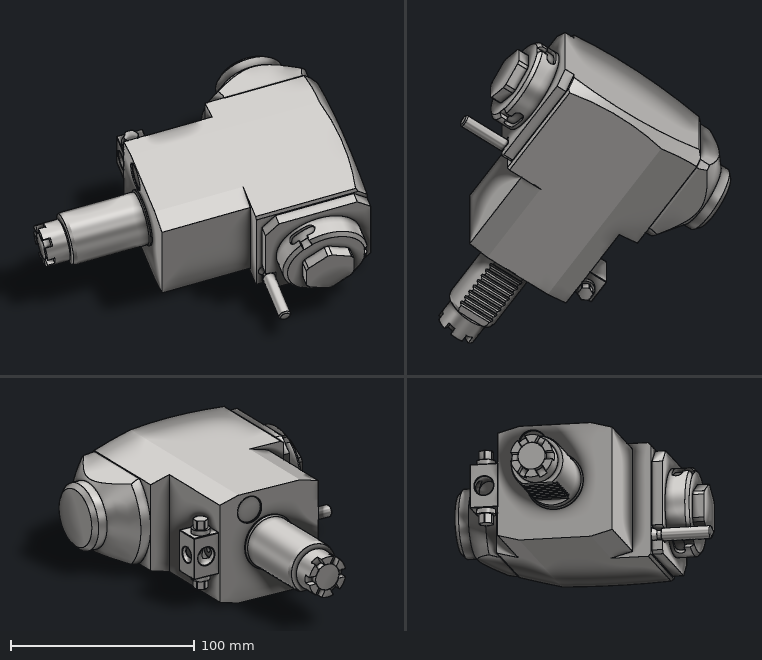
import math

import cadquery as cq


HALF_HEIGHT = 32.0
BLOCK_HALF_WIDTH = 32.0
BLOCK_DEPTH = 51.0
HEAD_BACK_Y = 115.0
HEAD_LEFT_X = -44.1
HEAD_RIGHT_X = 42.2
FLAT_HALF_WIDTH = 20.0
TAPER_ANGLE = 15.0
TAPER_SLOPE = math.tan(math.radians(TAPER_ANGLE))
RIGHT_EDGE_CHAMFER = 1.4
BACK_CORNER_CHAMFER = 3.3
BACK_BEVEL_RADIUS = 140.0
BACK_BEVEL_CENTER_X = 10.0
BACK_BEVEL_RISE = 3.0
FACE_RECESS_X = -12.6
FACE_RECESS_Z = 21.7
FACE_RECESS_RADIUS = 7.8
FACE_RECESS_DEPTH = 1.0
FACE_RECESS_CHAMFER = 0.3

SPINDLE_Y = 84.8
CAP_LEFT_X = -71.2
CAP_CHAMFER = 2.7
CAP_RADIUS = 19.3
CONE_LEFT_X = -63.0
CONE_RIGHT_X = -50.4
CONE_RADIUS = 33.8
CAP_BACK_Y = 111.1
CAP_TAPER_END_X = -45.8

PLATE_RIGHT_X = 48.1
PLATE_FRONT_Y = 54.2
PLATE_HALF_HEIGHT = 29.7
PLATE_CHAMFER = 7.8
PLATE_SMALL_CHAMFER = 1.9

NUT_RIGHT_X = 61.1
NUT_RADIUS = 24.4
NUT_CHAMFER = 2.0
NUT_SLOT_COUNT = 3
NUT_SLOT_ANGLE = 28.5
NUT_SLOT_CENTER_X = 52.9
NUT_SLOT_WIDTH = 5.6
NUT_SLOT_LENGTH = 16.0
NUT_SLOT_FLOOR_RADIUS = 22.2
NUT_KEYWAY_WIDTH = 5.3
NUT_KEYWAY_FLOOR_HEIGHT = 22.0
HEX_RIGHT_X = 67.4
HEX_ACROSS_FLATS = 27.4
HEX_ACROSS_CORNERS = 30.2

PIN_Y = 56.3
PIN_Z = -18.9
PIN_RADIUS = 3.5
PIN_RIGHT_X = 75.18
PIN_CHAMFER = 0.8
PIN_NECK_RADIUS = 2.4
PIN_NECK_LEFT_X = 44.9
PIN_NECK_RIGHT_X = 47.5
PIN_FOOT_RADIUS = 4.2
NOTCH_TOP_Z = -13.7
NOTCH_BOTTOM_Z = -22.4
NOTCH_INNER_TOP_Z = -15.6
NOTCH_DEPTH = 6.0

COLLAR_RADIUS = 15.9
COLLAR_LENGTH = 0.8
COLLAR_BEVEL_LENGTH = 0.8
SHANK_RADIUS = 15.0
SHANK_CHAMFER_START = 42.8
SHANK_CHAMFER = 0.6
SHANK_LENGTH = 44.9
NECK_RADIUS = 9.4
RACK_FLAT_Z = -11.8
RACK_FLAT_START = 6.9
RACK_NOTCH_COUNT = 8
RACK_PITCH = 4.0
RACK_FIRST_NOTCH = 11.5
RACK_NOTCH_DEPTH = 1.0
RACK_NOTCH_MOUTH = 2.7
RACK_NOTCH_ROOT = 1.0
COUPLING_START = 46.1
COUPLING_END = 59.0
COUPLING_RADIUS = 11.9
COUPLING_CORE_RADIUS = 7.55
COUPLING_SLOT_COUNT = 6
COUPLING_SLOT_WIDTH = 4.6
COUPLING_SLOT_DEPTH = 4.2
COUPLING_CORE_RECESS = 0.3

COOLANT_LEFT_X = -47.9
COOLANT_FRONT_Y = 1.2
COOLANT_BACK_Y = 16.2
COOLANT_HALF_HEIGHT = 12.2
COOLANT_EDGE_CHAMFER = 0.3
SIDE_PORT_RADIUS = 4.5
SIDE_PORT_DEPTH = 14.0
SIDE_PORT_BORE_RADIUS = 1.6
FRONT_PORT_X = -40.0
FRONT_PORT_RADIUS = 5.3
FRONT_PORT_DEPTH = 12.5
PORT_CHAMFER = 0.3
PLUG_Y = 7.0
PLUG_COLLAR_RADIUS = 5.2
PLUG_COLLAR_HEIGHT = 2.8
PLUG_HEX_HEIGHT = 5.3
PLUG_HEX_ACROSS_FLATS = 7.4
PLUG_HEX_ACROSS_CORNERS = 8.2

CLEARANCE = 5.0


def box(x_min, x_max, y_min, y_max, z_min, z_max):
    """Box between two opposite corners."""
    size = (x_max - x_min, y_max - y_min, z_max - z_min)
    return cq.Workplane("XY").box(*size, centered=False).translate((x_min, y_min, z_min))


def revolve_about_x(profile, y, z):
    """Solid turned about an axis parallel to X; profile points are (x, radius)."""
    turned = cq.Workplane("XY").polyline(profile).close().revolve(360, (0, 0, 0), (1, 0, 0))
    return turned.translate((0, y, z))


def revolve_about_y(profile):
    """Solid turned about the Y axis; profile points are (radius, y)."""
    return cq.Workplane("XY").polyline(profile).close().revolve(360, (0, 0, 0), (0, 1, 0))


def truncated_hexagon(workplane, across_flats, across_corners, length):
    """Hexagonal prism whose corners are cut flat by a second hexagon turned by 30 degrees."""
    circumscribed = 1 / math.cos(math.pi / 6)
    hexagon = workplane.polygon(6, across_flats * circumscribed).extrude(length)
    corner_cutter = (
        workplane.transformed(rotate=(0, 0, 30))
        .polygon(6, across_corners * circumscribed)
        .extrude(length)
    )
    return hexagon.intersect(corner_cutter)


def taper_height(x):
    """Half height of the housing on its tapered left side."""
    return HALF_HEIGHT + TAPER_SLOPE * (x + FLAT_HALF_WIDTH)


def back_bevel():
    """Solid filling the space inside the conical bevels along the top and bottom back edges."""
    rim_center_z = HALF_HEIGHT - BACK_BEVEL_RISE - BACK_BEVEL_RADIUS
    reach = HEAD_BACK_Y + CLEARANCE
    profile = [
        (0, -CLEARANCE),
        (BACK_BEVEL_RADIUS + reach, -CLEARANCE),
        (BACK_BEVEL_RADIUS, HEAD_BACK_Y),
        (0, HEAD_BACK_Y),
    ]
    cone = revolve_about_y(profile)
    upper = cone.translate((BACK_BEVEL_CENTER_X, 0, rim_center_z))
    lower = cone.translate((BACK_BEVEL_CENTER_X, 0, -rim_center_z))
    return upper.intersect(lower)


def seat_block():
    """Front block, tapered towards both sides, with a round recess in the seat face."""
    side_height = taper_height(-BLOCK_HALF_WIDTH)
    block = (
        cq.Workplane("XZ")
        .polyline([
            (-BLOCK_HALF_WIDTH, -side_height),
            (-FLAT_HALF_WIDTH, -HALF_HEIGHT),
            (FLAT_HALF_WIDTH, -HALF_HEIGHT),
            (BLOCK_HALF_WIDTH, -side_height),
            (BLOCK_HALF_WIDTH, side_height),
            (FLAT_HALF_WIDTH, HALF_HEIGHT),
            (-FLAT_HALF_WIDTH, HALF_HEIGHT),
            (-BLOCK_HALF_WIDTH, side_height),
        ])
        .close()
        .extrude(-BLOCK_DEPTH)
    )
    recess = (
        cq.Workplane("XZ")
        .center(FACE_RECESS_X, FACE_RECESS_Z)
        .circle(FACE_RECESS_RADIUS)
        .extrude(-FACE_RECESS_DEPTH)
        .faces(">Y")
        .chamfer(FACE_RECESS_CHAMFER)
    )
    return block.cut(recess)


def head():
    """Cross block around the spindle, tapered on the left and bevelled at the back."""
    left_height = taper_height(HEAD_LEFT_X)
    chamfer_x = HEAD_RIGHT_X - RIGHT_EDGE_CHAMFER
    right_height = HALF_HEIGHT - RIGHT_EDGE_CHAMFER
    block = (
        cq.Workplane("XZ", origin=(0, BLOCK_DEPTH, 0))
        .polyline([
            (HEAD_LEFT_X, -left_height),
            (-FLAT_HALF_WIDTH, -HALF_HEIGHT),
            (chamfer_x, -HALF_HEIGHT),
            (HEAD_RIGHT_X, -right_height),
            (HEAD_RIGHT_X, right_height),
            (chamfer_x, HALF_HEIGHT),
            (-FLAT_HALF_WIDTH, HALF_HEIGHT),
            (HEAD_LEFT_X, left_height),
        ])
        .close()
        .extrude(BLOCK_DEPTH - HEAD_BACK_Y)
    )
    block = block.faces("<X").edges(">Y").chamfer(BACK_CORNER_CHAMFER)
    return block.intersect(back_bevel())


def bearing_cap():
    """Turned cap on the left, flattened to follow the taper and the back of the head."""
    turned = revolve_about_x(
        [
            (CAP_LEFT_X, 0),
            (CAP_LEFT_X, CAP_RADIUS - CAP_CHAMFER),
            (CAP_LEFT_X + CAP_CHAMFER, CAP_RADIUS),
            (CONE_LEFT_X, CAP_RADIUS),
            (CONE_RIGHT_X, CONE_RADIUS),
            (HEAD_LEFT_X, CONE_RADIUS),
            (HEAD_LEFT_X, 0),
        ],
        SPINDLE_Y,
        0,
    )
    start_x = CAP_LEFT_X - CLEARANCE
    flat_height = taper_height(CAP_TAPER_END_X)
    ring_height = max(CAP_RADIUS, taper_height(CONE_LEFT_X))
    envelope = (
        cq.Workplane("XZ")
        .polyline([
            (start_x, -ring_height),
            (CONE_LEFT_X, -ring_height),
            (CAP_TAPER_END_X, -flat_height),
            (HEAD_LEFT_X, -flat_height),
            (HEAD_LEFT_X, flat_height),
            (CAP_TAPER_END_X, flat_height),
            (CONE_LEFT_X, ring_height),
            (start_x, ring_height),
        ])
        .close()
        .extrude(-CAP_BACK_Y)
    )
    return turned.intersect(envelope)


def cover_plate():
    """Nearly square plate on the right with cut corners and a notch, sloped on top, for the stop pin."""
    plate = box(
        HEAD_RIGHT_X, PLATE_RIGHT_X, PLATE_FRONT_Y, HEAD_BACK_Y, -PLATE_HALF_HEIGHT, PLATE_HALF_HEIGHT
    )
    plate = plate.edges("|X and >Z").chamfer(PLATE_CHAMFER)
    plate = plate.edges("|X and <Z and >Y").chamfer(PLATE_CHAMFER)
    plate = plate.edges("|X and <Z and <Y").chamfer(PLATE_SMALL_CHAMFER)
    notch = (
        cq.Workplane("YZ", origin=(HEAD_RIGHT_X, 0, 0))
        .polyline([
            (PLATE_FRONT_Y, NOTCH_BOTTOM_Z),
            (PLATE_FRONT_Y + NOTCH_DEPTH, NOTCH_BOTTOM_Z),
            (PLATE_FRONT_Y + NOTCH_DEPTH, NOTCH_INNER_TOP_Z),
            (PLATE_FRONT_Y, NOTCH_TOP_Z),
        ])
        .close()
        .extrude(PLATE_RIGHT_X - HEAD_RIGHT_X)
    )
    return plate.cut(notch)


def nut_slot():
    """Round-floored wrench slot at the top of the nut, with a flat keyway out to the end face."""
    outside_z = NUT_RADIUS + CLEARANCE
    slot = (
        cq.Workplane("XY", origin=(NUT_SLOT_CENTER_X, 0, 0))
        .slot2D(NUT_SLOT_LENGTH, NUT_SLOT_WIDTH, 90)
        .extrude(outside_z)
    )
    floor = cq.Workplane("YZ").circle(NUT_SLOT_FLOOR_RADIUS).extrude(NUT_RIGHT_X)
    slot = slot.cut(floor)
    keyway = box(
        NUT_SLOT_CENTER_X + NUT_SLOT_WIDTH / 2,
        NUT_RIGHT_X,
        -NUT_KEYWAY_WIDTH / 2,
        NUT_KEYWAY_WIDTH / 2,
        NUT_KEYWAY_FLOOR_HEIGHT,
        outside_z,
    )
    return slot.union(keyway)


def clamping_nut():
    """Round nut with equally spaced wrench slots."""
    nut = revolve_about_x(
        [
            (PLATE_RIGHT_X, 0),
            (PLATE_RIGHT_X, NUT_RADIUS),
            (NUT_RIGHT_X - NUT_CHAMFER, NUT_RADIUS),
            (NUT_RIGHT_X, NUT_RADIUS - NUT_CHAMFER),
            (NUT_RIGHT_X, 0),
        ],
        0,
        0,
    )
    for index in range(NUT_SLOT_COUNT):
        angle = NUT_SLOT_ANGLE + index * 360 / NUT_SLOT_COUNT
        nut = nut.cut(nut_slot().rotate((0, 0, 0), (1, 0, 0), angle))
    return nut.translate((0, SPINDLE_Y, 0))


def spindle_hexagon():
    """Hexagon on the spindle end, flats facing front and back."""
    workplane = cq.Workplane("YZ", origin=(NUT_RIGHT_X, SPINDLE_Y, 0)).transformed(rotate=(0, 0, 30))
    return truncated_hexagon(workplane, HEX_ACROSS_FLATS, HEX_ACROSS_CORNERS, HEX_RIGHT_X - NUT_RIGHT_X)


def stop_pin():
    """Pin parallel to the spindle, necked down onto a conical foot."""
    return revolve_about_x(
        [
            (HEAD_RIGHT_X, 0),
            (HEAD_RIGHT_X, PIN_FOOT_RADIUS),
            (PIN_NECK_LEFT_X, PIN_NECK_RADIUS),
            (PIN_NECK_RIGHT_X, PIN_NECK_RADIUS),
            (PIN_NECK_RIGHT_X, PIN_RADIUS),
            (PIN_RIGHT_X - PIN_CHAMFER, PIN_RADIUS),
            (PIN_RIGHT_X, PIN_RADIUS - PIN_CHAMFER),
            (PIN_RIGHT_X, 0),
        ],
        PIN_Y,
        PIN_Z,
    )


def shank():
    """Round shank with a collar at the seat and a toothed flat underneath."""
    collar_end = COLLAR_LENGTH + COLLAR_BEVEL_LENGTH
    body = revolve_about_y([
        (0, 0),
        (COLLAR_RADIUS, 0),
        (COLLAR_RADIUS, -COLLAR_LENGTH),
        (SHANK_RADIUS, -collar_end),
        (SHANK_RADIUS, -SHANK_CHAMFER_START),
        (SHANK_RADIUS - SHANK_CHAMFER, -SHANK_LENGTH),
        (NECK_RADIUS, -SHANK_LENGTH),
        (NECK_RADIUS, -COUPLING_START),
        (0, -COUPLING_START),
    ])
    flat = box(
        -SHANK_RADIUS,
        SHANK_RADIUS,
        -SHANK_LENGTH,
        -RACK_FLAT_START,
        -SHANK_RADIUS - CLEARANCE,
        RACK_FLAT_Z,
    )
    body = body.cut(flat)
    for index in range(RACK_NOTCH_COUNT):
        y = -RACK_FIRST_NOTCH - index * RACK_PITCH
        notch = (
            cq.Workplane("YZ")
            .polyline([
                (y - RACK_NOTCH_MOUTH / 2, RACK_FLAT_Z),
                (y + RACK_NOTCH_MOUTH / 2, RACK_FLAT_Z),
                (y + RACK_NOTCH_ROOT / 2, RACK_FLAT_Z + RACK_NOTCH_DEPTH),
                (y - RACK_NOTCH_ROOT / 2, RACK_FLAT_Z + RACK_NOTCH_DEPTH),
            ])
            .close()
            .extrude(SHANK_RADIUS, both=True)
        )
        body = body.cut(notch)
    return body


def drive_coupling():
    """Claw coupling: radial slots around a plain round core, set slightly back."""
    claw_start = COUPLING_END - COUPLING_SLOT_DEPTH
    coupling = (
        cq.Workplane("XZ", origin=(0, -COUPLING_START, 0))
        .circle(COUPLING_RADIUS)
        .extrude(COUPLING_END - COUPLING_START)
    )
    slot = box(
        0,
        COUPLING_RADIUS + CLEARANCE,
        -COUPLING_END,
        -claw_start,
        -COUPLING_SLOT_WIDTH / 2,
        COUPLING_SLOT_WIDTH / 2,
    )
    core_bore = (
        cq.Workplane("XZ", origin=(0, -claw_start, 0))
        .circle(COUPLING_CORE_RADIUS)
        .extrude(COUPLING_SLOT_DEPTH)
    )
    core = core_bore.translate((0, COUPLING_CORE_RECESS, 0))
    for index in range(COUPLING_SLOT_COUNT):
        coupling = coupling.cut(slot.rotate((0, 0, 0), (0, 1, 0), index * 360 / COUPLING_SLOT_COUNT))
    return coupling.cut(core_bore).union(core)


def coolant_plug():
    """Upper plug of the coolant block: a round collar under a hexagon."""
    base = cq.Workplane("XY", origin=(FRONT_PORT_X, PLUG_Y, COOLANT_HALF_HEIGHT))
    collar = base.circle(PLUG_COLLAR_RADIUS).extrude(PLUG_COLLAR_HEIGHT)
    hexagon = truncated_hexagon(
        base.transformed(rotate=(0, 0, 30), offset=(0, 0, PLUG_COLLAR_HEIGHT)),
        PLUG_HEX_ACROSS_FLATS,
        PLUG_HEX_ACROSS_CORNERS,
        PLUG_HEX_HEIGHT,
    )
    return collar.union(hexagon)


def coolant_block():
    """Small block on the left side with two crossing ports and two plugs."""
    block = box(
        COOLANT_LEFT_X,
        -BLOCK_HALF_WIDTH,
        COOLANT_FRONT_Y,
        COOLANT_BACK_Y,
        -COOLANT_HALF_HEIGHT,
        COOLANT_HALF_HEIGHT,
    )
    block = block.faces("<X or >Z or <Z").edges("not >X").chamfer(COOLANT_EDGE_CHAMFER)
    side_port = revolve_about_x(
        [
            (COOLANT_LEFT_X, 0),
            (COOLANT_LEFT_X, SIDE_PORT_RADIUS + PORT_CHAMFER),
            (COOLANT_LEFT_X + PORT_CHAMFER, SIDE_PORT_RADIUS),
            (COOLANT_LEFT_X + SIDE_PORT_DEPTH, SIDE_PORT_RADIUS),
            (COOLANT_LEFT_X + SIDE_PORT_DEPTH, SIDE_PORT_BORE_RADIUS),
            (-BLOCK_HALF_WIDTH, SIDE_PORT_BORE_RADIUS),
            (-BLOCK_HALF_WIDTH, 0),
        ],
        (COOLANT_FRONT_Y + COOLANT_BACK_Y) / 2,
        0,
    )
    front_port = revolve_about_y([
        (0, COOLANT_FRONT_Y),
        (FRONT_PORT_RADIUS + PORT_CHAMFER, COOLANT_FRONT_Y),
        (FRONT_PORT_RADIUS, COOLANT_FRONT_Y + PORT_CHAMFER),
        (FRONT_PORT_RADIUS, COOLANT_FRONT_Y + FRONT_PORT_DEPTH),
        (0, COOLANT_FRONT_Y + FRONT_PORT_DEPTH),
    ]).translate((FRONT_PORT_X, 0, 0))
    block = block.cut(side_port).cut(front_port)
    plug = coolant_plug()
    return block.union(plug).union(plug.mirror("XY"))


result = (
    seat_block()
    .union(head())
    .union(bearing_cap())
    .union(cover_plate())
    .union(clamping_nut())
    .union(spindle_hexagon())
    .union(stop_pin())
    .union(shank())
    .union(drive_coupling())
    .union(coolant_block())
)